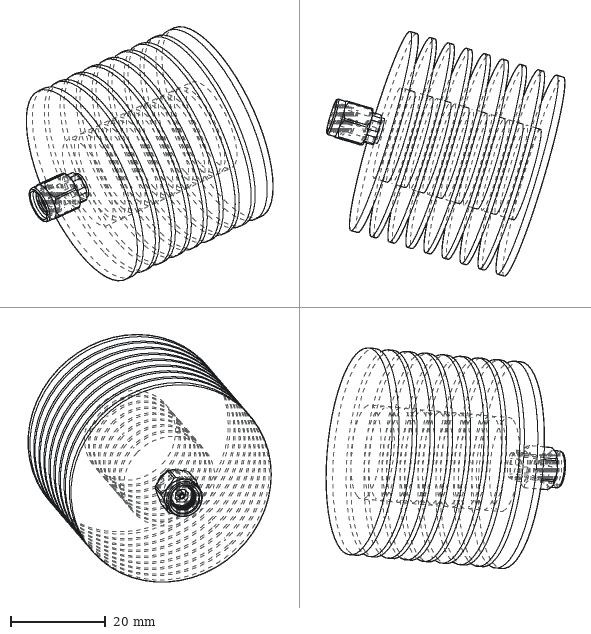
import cadquery as cq
import math


fin_diameter = 44.0
hub_diameter = 20.0
end_plate_thickness = 1.5
fin_thickness = 1.0
fin_gap = 3.0
inner_fin_count = 7

neck_length = 0.72
wrench_hex_length = 2.16
nut_hex_length = 6.1
nut_sleeve_length = 1.86
nut_start = neck_length + wrench_hex_length
nut_hex_end = nut_start + nut_hex_length
nut_end = nut_hex_end + nut_sleeve_length

neck_diameter = 5.5
wrench_flats = 6.2
wrench_corner_diameter = 6.55
wrench_hex_turn = 30.0
shell_diameter = 4.5
shell_bore_diameter = 2.85
shell_bore_depth = 2.0
shell_recess = 2.5
shell_end = nut_end - shell_recess

nut_flats = 8.0
nut_corner_diameter = 9.0
nut_hex_turn = -10.0
nut_chamfer = 0.52
sleeve_diameter = 7.85
sleeve_chamfer_radial = 0.22
sleeve_chamfer_axial = 0.35
thread_minor_diameter = 5.5
thread_major_diameter = 6.2
thread_pitch = 0.5
thread_groove_count = 6
thread_entry_diameter = 6.5
thread_entry_chamfer = 0.15
thread_entry_length = 0.7
nut_bore_depth = 5.0
nut_floor = nut_end - nut_bore_depth

conductor_diameter = 1.2
conductor_end = shell_end
pin_diameter = 0.9
pin_tip_diameter = 0.2
pin_taper_length = 0.5
pin_tip_recess = 1.4
pin_end = nut_end - pin_tip_recess
pin_seat_depth = 1.0
pin_start = shell_end - shell_bore_depth - pin_seat_depth


def cylinder(diameter, start, end):
    """Cylinder on the connector axis between two distances in front of the heatsink face."""
    plane = cq.Workplane("XZ", origin=(0, -start, 0))
    return plane.circle(diameter / 2).extrude(end - start)


def hexagon(flats, turn, start, end):
    """Hexagonal prism on the connector axis, its corners turned by an angle from +X."""
    plane = cq.Workplane("XZ", origin=(0, -start, 0)).transformed(rotate=(0, 0, turn))
    corner_to_corner = flats / math.cos(math.pi / 6)
    return plane.polygon(6, corner_to_corner).extrude(end - start)


def turned(points):
    """Solid of revolution from (radius, distance in front of the heatsink face) points."""
    profile = cq.Workplane("XY").polyline([(radius, -distance) for radius, distance in points])
    return profile.close().revolve(360, (0, 0, 0), (0, 1, 0))


def make_heatsink():
    fin_pitch = fin_thickness + fin_gap
    rear_plate_front = -(end_plate_thickness + fin_gap + inner_fin_count * fin_pitch)
    rear_face = rear_plate_front - end_plate_thickness
    sink = cylinder(hub_diameter, rear_face, 0)
    sink = sink.union(cylinder(fin_diameter, -end_plate_thickness, 0))
    sink = sink.union(cylinder(fin_diameter, rear_face, rear_plate_front))
    for i in range(inner_fin_count):
        fin_front = -(end_plate_thickness + fin_gap + i * fin_pitch)
        sink = sink.union(cylinder(fin_diameter, fin_front - fin_thickness, fin_front))
    return sink


def make_connector_body():
    neck = cylinder(neck_diameter, 0, neck_length)
    wrench_hex = hexagon(wrench_flats, wrench_hex_turn, neck_length, nut_start).intersect(
        cylinder(wrench_corner_diameter, neck_length, nut_start)
    )
    shell = cylinder(shell_diameter, nut_start, shell_end)
    bore = cylinder(shell_bore_diameter, shell_end - shell_bore_depth, shell_end)
    pin_seat = cylinder(conductor_diameter, pin_start, shell_end)
    return neck.union(wrench_hex).union(shell).cut(bore).cut(pin_seat)


def make_nut_bore():
    """Threaded bore, with each turn of thread as a separate ring-shaped V groove."""
    minor_radius = thread_minor_diameter / 2
    major_radius = thread_major_diameter / 2
    entry_radius = thread_entry_diameter / 2
    entry_end = nut_end - thread_entry_length
    thread_start = entry_end - thread_entry_chamfer
    points = [
        (0, nut_floor),
        (0, nut_end),
        (entry_radius, nut_end),
        (entry_radius, entry_end),
        (major_radius, thread_start),
    ]
    for i in range(thread_groove_count):
        crest = thread_start - (i + 0.5) * thread_pitch
        points.append((minor_radius, crest))
        points.append((major_radius, crest - thread_pitch / 2))
    last_crest = thread_start - (thread_groove_count + 0.5) * thread_pitch
    points.append((minor_radius, last_crest))
    points.append((minor_radius, nut_floor))
    return turned(points)


def make_nut():
    corner_radius = nut_corner_diameter / 2
    end_radius = corner_radius - nut_chamfer
    envelope = turned([
        (0, nut_start),
        (end_radius, nut_start),
        (corner_radius, nut_start + nut_chamfer),
        (corner_radius, nut_hex_end - nut_chamfer),
        (end_radius, nut_hex_end),
        (0, nut_hex_end),
    ])
    nut = hexagon(nut_flats, nut_hex_turn, nut_start, nut_hex_end).intersect(envelope)
    sleeve_radius = sleeve_diameter / 2
    sleeve = turned([
        (0, nut_hex_end),
        (sleeve_radius, nut_hex_end),
        (sleeve_radius, nut_end - sleeve_chamfer_axial),
        (sleeve_radius - sleeve_chamfer_radial, nut_end),
        (0, nut_end),
    ])
    shell_hole = cylinder(shell_diameter, nut_start, nut_end)
    return nut.union(sleeve).cut(shell_hole).cut(make_nut_bore())


def make_pin():
    conductor_radius = conductor_diameter / 2
    pin_radius = pin_diameter / 2
    return turned([
        (0, pin_start),
        (conductor_radius, pin_start),
        (conductor_radius, conductor_end),
        (pin_radius, conductor_end),
        (pin_radius, pin_end - pin_taper_length),
        (pin_tip_diameter / 2, pin_end),
        (0, pin_end),
    ])


heatsink = make_heatsink()
connector_body = make_connector_body()
nut = make_nut()
pin = make_pin()

result = cq.Compound.makeCompound([heatsink.val(), connector_body.val(), nut.val(), pin.val()])